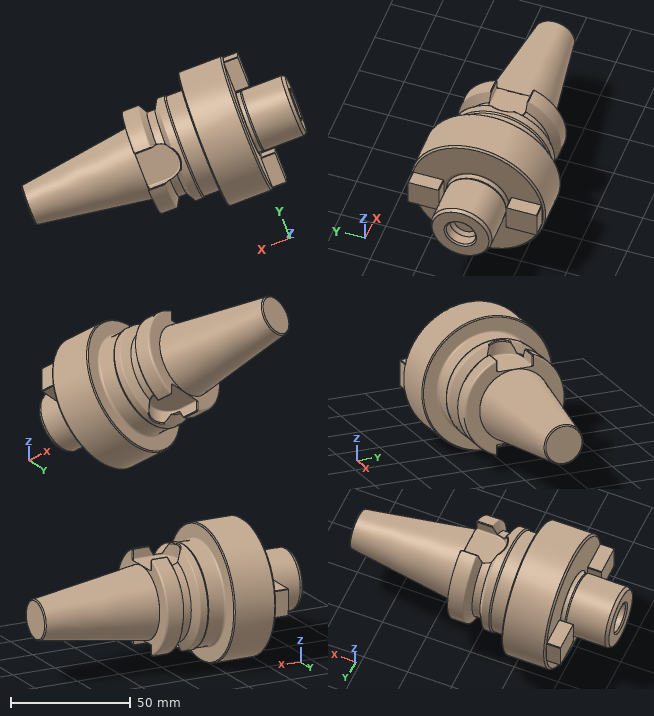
import cadquery as cq
import math


GAUGE_RADIUS = 31.75 / 2
TAPER_SLOPE = 7 / 24 / 2
SHANK_LENGTH = 48.4
SHANK_CHAMFER = 0.5

FLANGE_RADIUS = 46 / 2
FLANGE_FACE_X = -2.0
FLANGE_FILLET = 1.0
GROOVE_RADIUS = 38 / 2
GROOVE_CENTRE_X = -13.65
GROOVE_FLOOR_WIDTH = 3.6
GROOVE_WALL_ANGLE = 30
GROOVE_EDGE_RADIUS = 0.6
FRONT_RIM_X = -21.2
RIM_STEP_LENGTH = 0.7

NECK_RADIUS = 45 / 2
NECK_FILLET = 1.0
DISC_RADIUS = 60 / 2
DISC_FACE_X = -50.0
DISC_LENGTH = 20.0
DISC_FRONT_CHAMFER = 0.8
DISC_REAR_CHAMFER = 0.5

PILOT_RADIUS = 27 / 2
PILOT_LENGTH = 21.5
PILOT_CHAMFER_LENGTH = 1.5
PILOT_CHAMFER_ANGLE = 30
UNDERCUT_RADIUS = 26.5 / 2
UNDERCUT_LENGTH = 2.3
UNDERCUT_RUNOUT = 0.7
UNDERCUT_DEPTH = 0.3
UNDERCUT_FILLET = 0.7
RECESS_RADIUS = 15.0

BORE_RADIUS = 13 / 2
BORE_CHAMFER = 0.7
BORE_DEPTH = 5.0
BORE_FLOOR_RADIUS = 10 / 2

KEY_WIDTH = 12.0
KEY_INNER_Y = 14.9
KEY_LENGTH = 13.8
KEY_HEIGHT = 6.3
KEY_ROOT = 1.0
KEY_CHAMFER = 0.3

SLOT_WIDTH = 16.1
SLOT_FLOOR_Z = 16.3
SLOT_ARC_CENTRE_X = -11.1
SLOT_FLOOR_FILLET = 0.7
SLOT_EDGE_CHAMFER = 0.45
SLOT_OVERRUN = 1.0

NOSE_X = DISC_FACE_X - PILOT_LENGTH
DISC_REAR_X = DISC_FACE_X + DISC_LENGTH


def taper_radius(x):
    return GAUGE_RADIUS - TAPER_SLOPE * x


def make_body():
    pilot_drop = PILOT_CHAMFER_LENGTH * math.tan(math.radians(PILOT_CHAMFER_ANGLE))
    undercut_x = DISC_FACE_X - UNDERCUT_LENGTH
    undercut_floor_x = DISC_FACE_X + UNDERCUT_DEPTH
    neck_arc_middle = NECK_FILLET * (1 - math.sqrt(0.5))
    flange_arc_middle = FLANGE_FILLET * (1 - math.sqrt(0.5))
    undercut_arc_middle = UNDERCUT_FILLET * (1 - math.sqrt(0.5))

    profile = (
        cq.Workplane("XY")
        .moveTo(NOSE_X, 0)
        .lineTo(NOSE_X, PILOT_RADIUS - pilot_drop)
        .lineTo(NOSE_X + PILOT_CHAMFER_LENGTH, PILOT_RADIUS)
        .lineTo(undercut_x, PILOT_RADIUS)
        .lineTo(undercut_x + UNDERCUT_RUNOUT, UNDERCUT_RADIUS)
        .lineTo(undercut_floor_x - UNDERCUT_FILLET, UNDERCUT_RADIUS)
        .threePointArc(
            (undercut_floor_x - undercut_arc_middle, UNDERCUT_RADIUS + undercut_arc_middle),
            (undercut_floor_x, UNDERCUT_RADIUS + UNDERCUT_FILLET),
        )
        .lineTo(DISC_FACE_X, RECESS_RADIUS)
        .lineTo(DISC_FACE_X, DISC_RADIUS - DISC_FRONT_CHAMFER)
        .lineTo(DISC_FACE_X + DISC_FRONT_CHAMFER, DISC_RADIUS)
        .lineTo(DISC_REAR_X - DISC_REAR_CHAMFER, DISC_RADIUS)
        .lineTo(DISC_REAR_X, DISC_RADIUS - DISC_REAR_CHAMFER)
        .lineTo(DISC_REAR_X, NECK_RADIUS + NECK_FILLET)
        .threePointArc(
            (DISC_REAR_X + neck_arc_middle, NECK_RADIUS + neck_arc_middle),
            (DISC_REAR_X + NECK_FILLET, NECK_RADIUS),
        )
        .lineTo(FRONT_RIM_X - RIM_STEP_LENGTH, NECK_RADIUS)
        .lineTo(FRONT_RIM_X, FLANGE_RADIUS)
        .lineTo(FLANGE_FACE_X - FLANGE_FILLET, FLANGE_RADIUS)
        .threePointArc(
            (FLANGE_FACE_X - flange_arc_middle, FLANGE_RADIUS - flange_arc_middle),
            (FLANGE_FACE_X, FLANGE_RADIUS - FLANGE_FILLET),
        )
        .lineTo(FLANGE_FACE_X, taper_radius(FLANGE_FACE_X))
        .lineTo(SHANK_LENGTH - SHANK_CHAMFER, taper_radius(SHANK_LENGTH - SHANK_CHAMFER))
        .lineTo(SHANK_LENGTH, taper_radius(SHANK_LENGTH) - SHANK_CHAMFER)
        .lineTo(SHANK_LENGTH, 0)
        .close()
    )
    return profile.revolve(360, (0, 0, 0), (1, 0, 0))


def make_bore():
    floor_x = NOSE_X + BORE_DEPTH + BORE_RADIUS - BORE_FLOOR_RADIUS
    return (
        cq.Workplane("XY")
        .moveTo(NOSE_X, 0)
        .lineTo(NOSE_X, BORE_RADIUS + BORE_CHAMFER)
        .lineTo(NOSE_X + BORE_CHAMFER, BORE_RADIUS)
        .lineTo(NOSE_X + BORE_DEPTH, BORE_RADIUS)
        .lineTo(floor_x, BORE_FLOOR_RADIUS)
        .lineTo(floor_x, 0)
        .close()
        .revolve(360, (0, 0, 0), (1, 0, 0))
    )


def make_key(side):
    return (
        cq.Workplane("XY")
        .box(KEY_HEIGHT + KEY_ROOT, KEY_LENGTH, KEY_WIDTH, centered=(False, True, True))
        .edges("|X")
        .chamfer(KEY_CHAMFER)
        .translate((DISC_FACE_X - KEY_HEIGHT, side * (KEY_INNER_Y + KEY_LENGTH / 2), 0))
    )


def make_slot():
    """Round-ended slot along +X with its floor facing +Z, flared at 45 degrees at the flange face."""
    half_width = SLOT_WIDTH / 2
    flare_x = FLANGE_FACE_X - SLOT_EDGE_CHAMFER
    open_x = FLANGE_FACE_X + SLOT_OVERRUN
    open_half_width = half_width + open_x - flare_x
    slot = (
        cq.Workplane("XY", origin=(0, 0, SLOT_FLOOR_Z))
        .moveTo(open_x, -open_half_width)
        .lineTo(flare_x, -half_width)
        .lineTo(SLOT_ARC_CENTRE_X, -half_width)
        .threePointArc((SLOT_ARC_CENTRE_X - half_width, 0), (SLOT_ARC_CENTRE_X, half_width))
        .lineTo(flare_x, half_width)
        .lineTo(open_x, open_half_width)
        .close()
        .extrude(FLANGE_RADIUS)
    )
    return slot.faces("<Z").edges("not >X").fillet(SLOT_FLOOR_FILLET)


def cut_slots(body):
    """Cut both slots and break the edges they leave on the rim of the flange."""
    slot = make_slot()
    for angle in (0, 180):
        body = body.cut(slot.rotate((0, 0, 0), (1, 0, 0), angle))

    wall_top_z = math.sqrt(FLANGE_RADIUS**2 - (SLOT_WIDTH / 2) ** 2)
    rim_low_z = wall_top_z - SLOT_EDGE_CHAMFER
    slot_end_x = SLOT_ARC_CENTRE_X - SLOT_WIDTH / 2
    for low_z, high_z in ((rim_low_z, FLANGE_RADIUS), (-FLANGE_RADIUS, -rim_low_z)):
        rim_edges = cq.selectors.BoxSelector(
            (slot_end_x, -SLOT_WIDTH, low_z),
            (FLANGE_FACE_X - FLANGE_FILLET, SLOT_WIDTH, high_z),
        )
        body = body.edges(rim_edges).chamfer(SLOT_EDGE_CHAMFER)
    return body


def cut_groove(body):
    """Cut the V-groove around the flange and round its rim edges."""
    wall_slope = math.tan(math.radians(GROOVE_WALL_ANGLE))
    half_floor = GROOVE_FLOOR_WIDTH / 2
    half_mouth = half_floor + (FLANGE_RADIUS - GROOVE_RADIUS) * wall_slope
    half_top = half_floor + (DISC_RADIUS - GROOVE_RADIUS) * wall_slope
    groove = (
        cq.Workplane("XY", origin=(GROOVE_CENTRE_X, 0, 0))
        .moveTo(-half_top, DISC_RADIUS)
        .lineTo(-half_floor, GROOVE_RADIUS)
        .lineTo(half_floor, GROOVE_RADIUS)
        .lineTo(half_top, DISC_RADIUS)
        .close()
        .revolve(360, (0, 0, 0), (1, 0, 0))
    )
    body = body.cut(groove)
    for mouth_x in (GROOVE_CENTRE_X - half_mouth, GROOVE_CENTRE_X + half_mouth):
        mouth_edges = cq.selectors.BoxSelector(
            (mouth_x - GROOVE_EDGE_RADIUS / 2, -DISC_RADIUS, -DISC_RADIUS),
            (mouth_x + GROOVE_EDGE_RADIUS / 2, DISC_RADIUS, DISC_RADIUS),
        )
        body = body.edges(mouth_edges).edges("%CIRCLE").fillet(GROOVE_EDGE_RADIUS)
    return body


result = cut_groove(cut_slots(make_body())).cut(make_bore())
for side in (-1, 1):
    result = result.union(make_key(side))